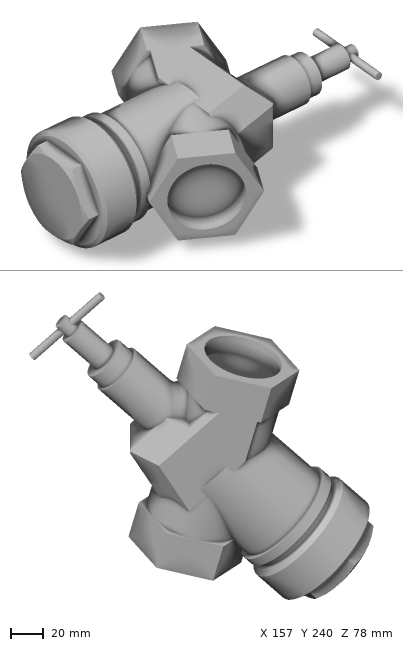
import cadquery as cq
import math


PIPE_TILT = 30.0
PIPE_LENGTH = 140.0
HEX_FLATS = 62.0
HEX_LENGTH = 25.0
PIPE_RADIUS = 30.7
BORE_DIAMETER = 49.0
BORE_DEPTH = 12.7

BARREL_RADIUS = 66.0 / 2
COLLAR_RADIUS = 36.0
COLLAR_TOP = -59.0
COLLAR_WIDTH = 6.5
NUT_RADIUS = 78.0 / 2
NUT_TOP = -70.0
NUT_BOTTOM = -98.0
NUT_BEVEL = 3.0
NUT_TOP_BEVEL = 3.0
NUT_BOTTOM_BEVEL = 2.0
CAP_FLATS = 57.0
CAP_BOTTOM = -108.0
CAP_BEVEL_ANGLE = 30.0

STEM_RADIUS = 16.5
STEM_END = 84.2
SPINDLE_STEPS = [(14.5, 95.0), (8.5, 122.5), (4.8, 132.0)]
HANDLE_LENGTH = 60.5
HANDLE_RADIUS = 2.6
HANDLE_Y = 127.0

BRANCH_Y = 34.0
BRANCH_START = -26.5
BRANCH_FILLET = 3.5

WEB_BOTTOM = -5.5
WEB_TOP = 45.0
WEB_TOP_RIGHT = 29.3
WEB_BEVEL = 15.0
WEB_SIDE_TILT = 14.5
WEB_UNDERSIDE = -15.5
WEB_OVERLAP = 2.5
WEB_CORNER_RADIUS = 3.5
WEB_NOTCH_LEFT = -13.0
WEB_NOTCH_RIGHT = -3.4

PIPE_COS = math.cos(math.radians(PIPE_TILT))
PIPE_SIN = math.sin(math.radians(PIPE_TILT))


def rod(radius, start, direction, length):
    cylinder = cq.Solid.makeCylinder(radius, length, cq.Vector(*start), cq.Vector(*direction))
    return cq.Workplane(cylinder)


def y_rod(radius, y_start, y_end):
    return rod(radius, (0, y_start, 0), (0, 1, 0), y_end - y_start)


def hex_corner_radius(flats):
    return flats / 2 / math.cos(math.pi / 6)


def pipe_point(along, across):
    """XY point at a distance towards the left socket and an offset above the pipe axis."""
    return (-along * PIPE_COS + across * PIPE_SIN, along * PIPE_SIN + across * PIPE_COS)


def make_socket(side):
    """Hexagonal end; side is +1 for the left socket and -1 for the right one."""
    face_x, face_y = pipe_point(side * PIPE_LENGTH / 2, 0)
    inward = (side * PIPE_COS, -side * PIPE_SIN, 0)
    plane = cq.Plane(origin=(face_x, face_y, 0), xDir=(PIPE_SIN, PIPE_COS, 0), normal=inward)
    body = cq.Workplane(plane).polygon(6, 2 * hex_corner_radius(HEX_FLATS)).extrude(HEX_LENGTH)
    bore = cq.Workplane(plane).circle(BORE_DIAMETER / 2).extrude(BORE_DEPTH)
    return body, bore


def make_web():
    lean = math.tan(math.radians(WEB_SIDE_TILT))
    bottom_right_x = WEB_TOP_RIGHT + lean * (WEB_TOP - WEB_BOTTOM)
    inside_socket = PIPE_LENGTH / 2 - HEX_LENGTH + WEB_OVERLAP
    lower_left = pipe_point(inside_socket, WEB_UNDERSIDE)
    underside_end_x = (WEB_UNDERSIDE - WEB_BOTTOM * PIPE_COS) / PIPE_SIN
    upper_left_x = (WEB_TOP * PIPE_SIN - inside_socket) / PIPE_COS
    outline = [
        (WEB_TOP_RIGHT, WEB_TOP),
        (bottom_right_x, WEB_BOTTOM),
        (underside_end_x, WEB_BOTTOM),
        lower_left,
        (upper_left_x, WEB_TOP),
    ]
    half_height = HEX_FLATS / 2
    blank = cq.Workplane("XY").polyline(outline).close().extrude(half_height, both=True)
    corner = cq.selectors.NearestToPointSelector((WEB_TOP_RIGHT, WEB_TOP, 0))
    rounded = blank.edges(corner).fillet(WEB_CORNER_RADIUS)

    top_middle = ((upper_left_x + WEB_TOP_RIGHT) / 2, WEB_TOP)
    side_middle = ((WEB_TOP_RIGHT + bottom_right_x) / 2, (WEB_TOP + WEB_BOTTOM) / 2)
    bevelled = blank
    for z in (half_height, -half_height):
        top_edge = cq.selectors.NearestToPointSelector((*top_middle, z))
        side_edge = cq.selectors.NearestToPointSelector((*side_middle, z))
        bevelled = bevelled.edges(top_edge + side_edge).chamfer(WEB_BEVEL)

    notch_outline = [
        (lower_left[0], BRANCH_Y),
        (WEB_NOTCH_LEFT, BRANCH_Y),
        (WEB_NOTCH_RIGHT, WEB_TOP),
        (lower_left[0], WEB_TOP),
    ]
    notch = cq.Workplane("XY").polyline(notch_outline).close().extrude(half_height, both=True)
    return bevelled.intersect(rounded).cut(notch)


def make_stem():
    """Lowest spindle step with the branch, filleted where they meet."""
    stem = y_rod(STEM_RADIUS, 0, STEM_END)
    branch = rod(STEM_RADIUS, (BRANCH_START, BRANCH_Y, 0), (1, 0, 0), -BRANCH_START)
    return stem.union(branch).edges("%ELLIPSE").fillet(BRANCH_FILLET)


def turn_about_y(profile):
    return cq.Workplane("XY").polyline(profile).close().revolve(360, (0, 0), (0, 1))


def make_nut():
    rim = NUT_RADIUS - NUT_BEVEL
    profile = [
        (0, NUT_TOP), (rim, NUT_TOP), (NUT_RADIUS, NUT_TOP - NUT_TOP_BEVEL),
        (NUT_RADIUS, NUT_BOTTOM + NUT_BOTTOM_BEVEL), (rim, NUT_BOTTOM), (0, NUT_BOTTOM),
    ]
    return turn_about_y(profile)


def make_cap_hexagon():
    corner_radius = hex_corner_radius(CAP_FLATS)
    hexagon = cq.Workplane("XZ", origin=(0, NUT_BOTTOM, 0)).polygon(6, 2 * corner_radius)
    hexagon = hexagon.extrude(NUT_BOTTOM - CAP_BOTTOM)
    bevel = (corner_radius - CAP_FLATS / 2) * math.tan(math.radians(CAP_BEVEL_ANGLE))
    profile = [
        (0, NUT_BOTTOM), (corner_radius, NUT_BOTTOM), (corner_radius, CAP_BOTTOM + bevel),
        (CAP_FLATS / 2, CAP_BOTTOM), (0, CAP_BOTTOM),
    ]
    envelope = turn_about_y(profile)
    return hexagon.intersect(envelope)


def make_spindle():
    start = STEM_END
    spindle = rod(HANDLE_RADIUS, (-HANDLE_LENGTH / 2, HANDLE_Y, 0), (1, 0, 0), HANDLE_LENGTH)
    for radius, end in SPINDLE_STEPS:
        spindle = spindle.union(y_rod(radius, start, end))
        start = end
    return spindle


left_hex, left_bore = make_socket(1)
right_hex, right_bore = make_socket(-1)
solid_length = PIPE_LENGTH - 2 * BORE_DEPTH
pipe_start = pipe_point(solid_length / 2, 0)
pipe = rod(PIPE_RADIUS, (*pipe_start, 0), (PIPE_COS, -PIPE_SIN, 0), solid_length)

result = pipe.union(make_web()).union(make_stem())
result = result.union(left_hex).union(right_hex)
result = result.union(y_rod(BARREL_RADIUS, NUT_TOP, 0))
result = result.union(y_rod(COLLAR_RADIUS, COLLAR_TOP - COLLAR_WIDTH, COLLAR_TOP))
result = result.union(make_nut()).union(make_cap_hexagon()).union(make_spindle())
result = result.cut(left_bore).cut(right_bore)